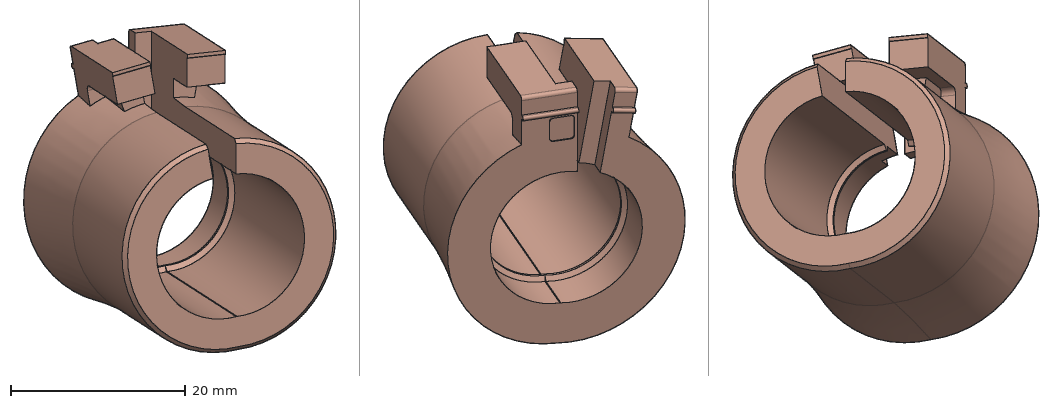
import cadquery as cq
import math


body_length = 27.82
barrel_radius = 12.55
flare_radius = 13.63
flare_mid_radius = 12.95
flare_length = 12.3
back_chamfer = 0.5
bore_radius = 8.47

ridge_radius = 7.85
ridge_start = 5.52
ridge_ramp = 0.35
ridge_top_width = 0.33

opening_angle = 10.0
hinge_z = -ridge_radius

overall_height = 32.7
swing_drop = ridge_radius * (1 - math.cos(math.radians(opening_angle)))
lug_top = overall_height - flare_radius - swing_drop

lug_thickness = 4.7
lug_length = 12.88
lug_head_height = 3.92
lug_root_z = 9.8
lip_overhang = 0.13
lip_height = 0.45
top_fillet = 0.45
foot_length = 3.4
foot_fillet = 0.8
web_length = 8.75
web_top_thickness = 3.05
web_draft_angle = 10.0

tab_size = 2.0

bead_projection = 0.6
bead_height = 0.6
bead_drop = 2.32

label_size = 3.0
label_center_y = -0.15
label_center_z = 14.1
label_corner_radius = 0.45
label_depth = 0.15


def box(x_range, y_range, z_range):
    """Axis-aligned box between the given limits."""
    lengths = [high - low for low, high in (x_range, y_range, z_range)]
    corner = (x_range[0], y_range[0], z_range[0])
    return cq.Workplane("XY").box(*lengths, centered=False).translate(corner)


def half_ring():
    """Half ring on the +Y side, with the flared front and the ridge in the bore."""
    ridge_top_start = ridge_start + ridge_ramp
    ridge_top_end = ridge_top_start + ridge_top_width
    upper_half = (
        cq.Workplane("XY")
        .moveTo(0, bore_radius)
        .lineTo(0, flare_radius)
        .threePointArc((flare_length / 2, flare_mid_radius), (flare_length, barrel_radius))
        .lineTo(body_length - back_chamfer, barrel_radius)
        .lineTo(body_length, barrel_radius - back_chamfer)
        .lineTo(body_length, bore_radius)
        .lineTo(ridge_top_end + ridge_ramp, bore_radius)
        .lineTo(ridge_top_end, ridge_radius)
        .lineTo(ridge_top_start, ridge_radius)
        .lineTo(ridge_start, bore_radius)
        .close()
        .revolve(180, (0, 0, 0), (1, 0, 0))
    )
    return upper_half.rotate((0, 0, 0), (1, 0, 0), -90)


def bead(inner_y):
    """Round-nosed bead across the front face, from inner_y to the outer side of the lug."""
    top = lug_top - bead_drop
    bottom = top - bead_height
    nose_start = bead_height / 2 - bead_projection
    return (
        cq.Workplane("XZ", origin=(0, inner_y, 0))
        .moveTo(0, bottom)
        .lineTo(nose_start, bottom)
        .threePointArc((-bead_projection, (top + bottom) / 2), (nose_start, top))
        .lineTo(0, top)
        .close()
        .extrude(inner_y - lug_thickness)
    )


def front_strip(end_y):
    """Square bar at the front face, from the split plane to end_y, rising from the axis to the lug top."""
    return box((0, tab_size), (min(end_y, 0), max(end_y, 0)), (0, lug_top))


def lug(inner_y):
    """Lug on the +Y side; its front reaches inner_y: a tab if negative, a notch if positive."""
    head_bottom = lug_top - lug_head_height
    profile = (
        cq.Workplane("XZ")
        .moveTo(0, lug_root_z)
        .lineTo(0, lug_top)
        .lineTo(lug_length + lip_overhang, lug_top)
        .lineTo(lug_length + lip_overhang, lug_top - lip_height)
        .lineTo(lug_length, lug_top - lip_height)
        .lineTo(lug_length, head_bottom)
        .lineTo(foot_length + foot_fillet, head_bottom)
        .radiusArc((foot_length, head_bottom - foot_fillet), -foot_fillet)
        .lineTo(foot_length, lug_root_z)
        .close()
    )
    block = profile.extrude(-lug_thickness)
    web_height = head_bottom - lug_root_z
    web_root_thickness = web_top_thickness - web_height * math.tan(math.radians(web_draft_angle))
    web_section = [
        (0, lug_root_z),
        (web_root_thickness, lug_root_z),
        (web_top_thickness, head_bottom),
        (0, head_bottom),
    ]
    web = cq.Workplane("YZ").polyline(web_section).close().extrude(web_length)
    block = block.union(web)

    if inner_y < 0:
        bore = cq.Workplane("YZ").circle(bore_radius).extrude(tab_size)
        block = block.union(front_strip(inner_y).cut(bore))
    else:
        block = block.cut(front_strip(inner_y))
    block = block.edges("<X and >Z").fillet(top_fillet)

    return block.union(bead(inner_y))


def label_recess():
    """Rounded square pocket cutter at the front face."""
    return (
        box(
            (0, label_depth),
            (label_center_y - label_size / 2, label_center_y + label_size / 2),
            (label_center_z - label_size / 2, label_center_z + label_size / 2),
        )
        .edges("|X")
        .fillet(label_corner_radius)
    )


fixed_half = half_ring().union(lug(-tab_size)).cut(label_recess())

swung_half = (
    half_ring()
    .cut(front_strip(tab_size))
    .union(lug(tab_size))
    .mirror("XZ")
    .rotate((0, 0, hinge_z), (1, 0, hinge_z), opening_angle)
)

result = fixed_half.union(swung_half)